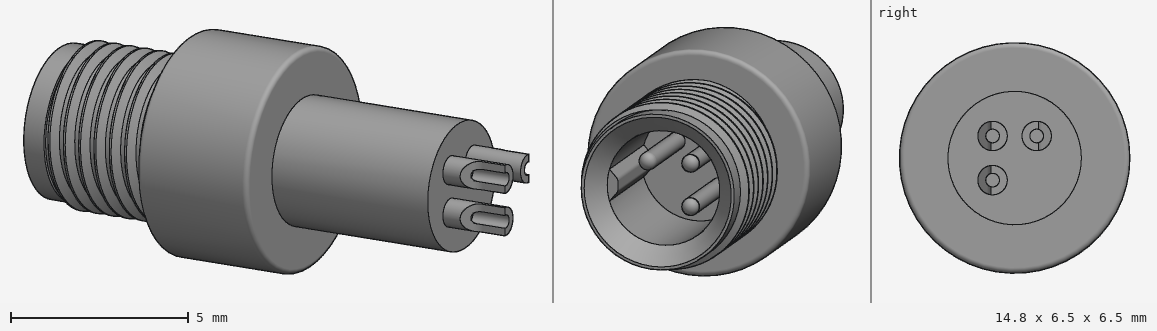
import cadquery as cq
import math

OVERALL_LENGTH = 14.8

FLANGE_DIAMETER = 6.5
FLANGE_RADIUS = FLANGE_DIAMETER / 2
FLANGE_START = 4.29
FLANGE_END = 7.9
FLANGE_FILLET = 0.15
COLLAR_RADIUS = 2.23
COLLAR_LENGTH = 0.67
BORE_RADIUS = 1.65
MOUTH_RADIUS = 2.15
MOUTH_DEPTH = 0.62

HELIX_LENGTH = 5.0
HELIX_TURNS = 10
THREAD_PITCH = HELIX_LENGTH / HELIX_TURNS
THREAD_CREST_RADIUS = 2.41
THREAD_ROOT_RADIUS = 2.15
THREAD_CREST_FLAT = THREAD_PITCH / 8
THREAD_EMBED = 0.05
HELIX_START = 0.06
FLANK_ANGLE = 30

INSERT_RADIUS = 1.88
INSERT_END = 13.0
KEY_TIP_Y = 1.33
KEY_TIP_HALF_WIDTH = 0.18
KEY_BASE_HALF_WIDTH = 0.46
KEY_TIP_FILLET = 0.15

PIN_RADIUS = 0.25
PIN_TIP = 0.99
PIN_OFFSET = 0.62
PIN_POSITIONS = [(PIN_OFFSET, PIN_OFFSET), (-PIN_OFFSET, PIN_OFFSET), (-PIN_OFFSET, -PIN_OFFSET)]
CUP_RADIUS = 0.41
CUP_BORE_RADIUS = 0.19
CUP_BORE_START = 13.62
CUP_CUT_START = 13.55
CUP_CUT_FILLET = 0.37
CUP_FLAT_OFFSET = 0.05


def rod(radius, start, end, y=0.0, z=0.0):
    """Cylinder parallel to X."""
    return cq.Workplane("YZ", origin=(start, y, z)).circle(radius).extrude(end - start)


def make_thread():
    """Helical ridge around the shell, trimmed between the collar and the flange."""
    ridge_base = THREAD_ROOT_RADIUS - THREAD_EMBED
    crest_half = THREAD_CREST_FLAT / 2
    flank_width = (THREAD_CREST_RADIUS - ridge_base) * math.tan(math.radians(FLANK_ANGLE))
    base_half = crest_half + flank_width

    helix = cq.Wire.makeHelix(THREAD_PITCH, HELIX_LENGTH, THREAD_ROOT_RADIUS)
    ridge = (
        cq.Workplane("XZ")
        .polyline([
            (ridge_base, -base_half),
            (THREAD_CREST_RADIUS, -crest_half),
            (THREAD_CREST_RADIUS, crest_half),
            (ridge_base, base_half),
        ])
        .close()
        .sweep(cq.Workplane(obj=helix), isFrenet=True)
        .rotate((0, 0, 0), (0, 1, 0), 90)
        .translate((HELIX_START, 0, 0))
    )
    return ridge.intersect(rod(FLANGE_RADIUS, COLLAR_LENGTH, FLANGE_START), clean=False)


def make_shell():
    """Metal shell: collar, thread, flange, flared bore and the pocket for the insert."""
    flange = rod(FLANGE_RADIUS, FLANGE_START, FLANGE_END).edges("%CIRCLE").fillet(FLANGE_FILLET)
    core = rod(THREAD_ROOT_RADIUS, COLLAR_LENGTH, FLANGE_START)
    collar = rod(COLLAR_RADIUS, 0, COLLAR_LENGTH)
    body = flange.union(core).union(collar).union(make_thread(), clean=False)

    flared_bore = (
        cq.Workplane("XY")
        .polyline([
            (0, 0),
            (0, MOUTH_RADIUS),
            (MOUTH_DEPTH, BORE_RADIUS),
            (FLANGE_START, BORE_RADIUS),
            (FLANGE_START, 0),
        ])
        .close()
        .revolve(360, (0, 0, 0), (1, 0, 0))
    )
    insert_pocket = rod(INSERT_RADIUS, FLANGE_START, FLANGE_END)
    return body.cut(flared_bore, clean=False).cut(insert_pocket, clean=False)


def make_key():
    """Key with a tapered section that lies against the bore wall on the +Y side."""
    base_y = math.sqrt(BORE_RADIUS ** 2 - KEY_BASE_HALF_WIDTH ** 2)
    length = FLANGE_START - MOUTH_DEPTH
    return (
        cq.Workplane("YZ", origin=(MOUTH_DEPTH, 0, 0))
        .moveTo(base_y, -KEY_BASE_HALF_WIDTH)
        .lineTo(KEY_TIP_Y, -KEY_TIP_HALF_WIDTH)
        .lineTo(KEY_TIP_Y, KEY_TIP_HALF_WIDTH)
        .lineTo(base_y, KEY_BASE_HALF_WIDTH)
        .threePointArc((BORE_RADIUS, 0), (base_y, -KEY_BASE_HALF_WIDTH))
        .close()
        .extrude(length)
        .edges("|X")
        .edges("<Y")
        .fillet(KEY_TIP_FILLET)
    )


def make_insert():
    """Insulating barrel that carries the key and the three pin holes."""
    insert = rod(INSERT_RADIUS, FLANGE_START, INSERT_END).union(make_key())
    for y, z in PIN_POSITIONS:
        insert = insert.cut(rod(PIN_RADIUS, FLANGE_START, INSERT_END, y, z))
    return insert


def make_pin(y, z):
    """Round-nosed contact pin with a solder cup that opens away from the XZ plane."""
    nose_center = PIN_TIP + PIN_RADIUS
    nose = cq.Workplane("XY", origin=(nose_center, 0, 0)).sphere(PIN_RADIUS)
    shaft = rod(PIN_RADIUS, nose_center, INSERT_END).union(nose)
    cup = rod(CUP_RADIUS, INSERT_END, OVERALL_LENGTH)
    cup_bore = rod(CUP_BORE_RADIUS, CUP_BORE_START, OVERALL_LENGTH)

    flat_start = CUP_CUT_START + CUP_RADIUS - CUP_FLAT_OFFSET
    opening = (
        cq.Workplane("XY", origin=(0, 0, -CUP_RADIUS))
        .polyline([
            (CUP_CUT_START, CUP_RADIUS),
            (flat_start, CUP_FLAT_OFFSET),
            (OVERALL_LENGTH, CUP_FLAT_OFFSET),
            (OVERALL_LENGTH, CUP_RADIUS),
        ])
        .close()
        .extrude(2 * CUP_RADIUS)
        .edges(cq.selectors.NearestToPointSelector((flat_start, CUP_FLAT_OFFSET, 0)))
        .fillet(CUP_CUT_FILLET)
    )
    pin = shaft.union(cup.cut(cup_bore).cut(opening))
    if y < 0:
        pin = pin.mirror("XZ")
    return pin.translate((0, y, z))


shell = make_shell()
insert = make_insert()
pins = [make_pin(y, z) for y, z in PIN_POSITIONS]

result = cq.Compound.makeCompound([shell.val(), insert.val(), *[pin.val() for pin in pins]])